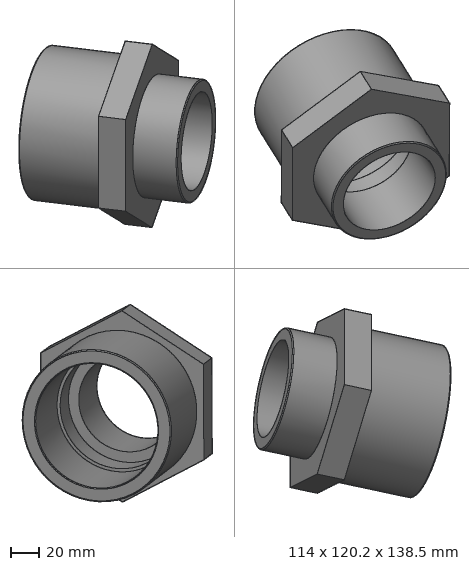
import cadquery as cq
import math

total_length = 114.0
socket_length = 61.0
hex_width = 20.1

socket_diameter = 110.0
spigot_diameter = 87.8
hex_corner_diameter = 138.5
hex_twist = -0.23
rim_chamfer = 0.8

bore_diameter = 70.2
socket_bore_diameter = 90.0
socket_bore_depth = 51.3
relief_diameter = 85.5
relief_end = socket_length + hex_width / 2
mouth_chamfer = 0.7


def revolve_about_x(profile):
    """Turn a closed (x, radius) profile into a solid of revolution."""
    return cq.Workplane("XY").polyline(profile).close().revolve(360, (0, 0, 0), (1, 0, 0))


def make_body():
    """Stepped round body with both outer rims chamfered."""
    socket_radius = socket_diameter / 2
    spigot_radius = spigot_diameter / 2
    return revolve_about_x([
        (0, 0),
        (0, socket_radius - rim_chamfer),
        (rim_chamfer, socket_radius),
        (socket_length, socket_radius),
        (socket_length, spigot_radius),
        (total_length - rim_chamfer, spigot_radius),
        (total_length, spigot_radius - rim_chamfer),
        (total_length, 0),
    ])


def make_hex_collar():
    """Hexagonal wrench collar with corners up and down, twisted slightly about X."""
    corner_radius = hex_corner_diameter / 2
    corners = []
    for index in range(6):
        angle = math.radians(90 + hex_twist + 60 * index)
        corners.append((corner_radius * math.cos(angle), corner_radius * math.sin(angle)))
    return (
        cq.Workplane("YZ", origin=(socket_length, 0, 0))
        .polyline(corners)
        .close()
        .extrude(hex_width)
    )


def make_cavity():
    """Chamfered socket bore, a narrower relief behind it, then the through bore."""
    socket_radius = socket_bore_diameter / 2
    relief_radius = relief_diameter / 2
    bore_radius = bore_diameter / 2
    return revolve_about_x([
        (0, 0),
        (0, socket_radius + mouth_chamfer),
        (mouth_chamfer, socket_radius),
        (socket_bore_depth, socket_radius),
        (socket_bore_depth, relief_radius),
        (relief_end, relief_radius),
        (relief_end, bore_radius),
        (total_length, bore_radius),
        (total_length, 0),
    ])


result = make_body().union(make_hex_collar()).cut(make_cavity())